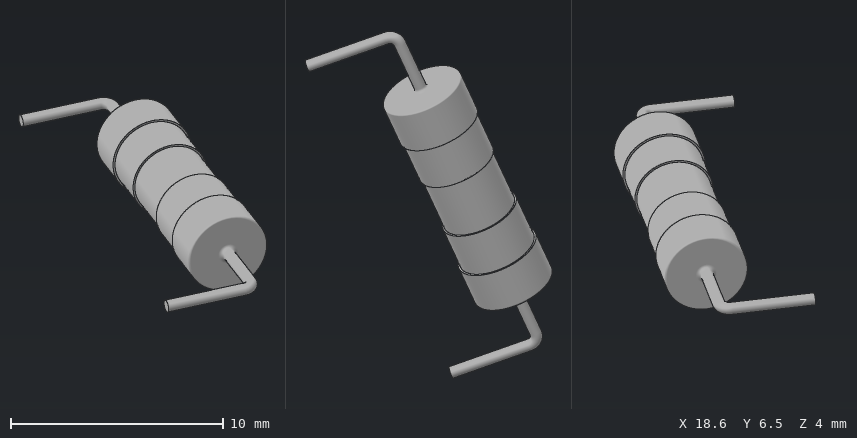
import cadquery as cq

overall_length = 18.6
lead_diameter = 0.6
lead_reach = 4.5
bend_radius = 0.5
body_length = 11.53
cap_diameter = 4.0
shoulder_diameter = 3.8
waist_diameter = 3.6
cap_inner_spacing = 7.33
waist_length = 2.86
cap_edge_radius = 0.1
root_fillet_radius = 0.2

lead_radius = lead_diameter / 2
lead_spacing = overall_length - lead_diameter


def make_body():
    """Stepped round body: end caps, narrower shoulders and the slim waist."""
    cap_radius = cap_diameter / 2
    shoulder_radius = shoulder_diameter / 2
    waist_radius = waist_diameter / 2
    body_end_x = body_length / 2
    cap_inner_x = cap_inner_spacing / 2
    waist_end_x = waist_length / 2
    body = (
        cq.Workplane("XY")
        .moveTo(-body_end_x, 0)
        .lineTo(-body_end_x, cap_radius)
        .lineTo(-cap_inner_x, cap_radius)
        .lineTo(-cap_inner_x, shoulder_radius)
        .lineTo(-waist_end_x, shoulder_radius)
        .lineTo(-waist_end_x, waist_radius)
        .lineTo(waist_end_x, waist_radius)
        .lineTo(waist_end_x, shoulder_radius)
        .lineTo(cap_inner_x, shoulder_radius)
        .lineTo(cap_inner_x, cap_radius)
        .lineTo(body_end_x, cap_radius)
        .lineTo(body_end_x, 0)
        .close()
        .revolve(360, (0, 0, 0), (1, 0, 0))
    )
    return body.faces("<X or >X").edges().fillet(cap_edge_radius)


def make_leads():
    """One wire through the body, with both ends bent toward -Y."""
    end_x = lead_spacing / 2
    straight_end_x = end_x - bend_radius
    path = (
        cq.Workplane("XY")
        .moveTo(-end_x, -lead_reach)
        .lineTo(-end_x, -bend_radius)
        .tangentArcPoint((-straight_end_x, 0), relative=False)
        .lineTo(straight_end_x, 0)
        .tangentArcPoint((end_x, -bend_radius), relative=False)
        .lineTo(end_x, -lead_reach)
    )
    tip_plane = cq.Workplane("XZ", origin=(-end_x, -lead_reach, 0))
    return tip_plane.circle(lead_radius).sweep(path)


def make_root_fillet():
    """Concave ring that blends the right-hand lead into its cap face."""
    face_x = body_length / 2
    ring_end_x = face_x + root_fillet_radius
    return (
        cq.Workplane("XY")
        .moveTo(face_x, 0)
        .lineTo(face_x, lead_radius + root_fillet_radius)
        .radiusArc((ring_end_x, lead_radius), -root_fillet_radius)
        .lineTo(ring_end_x, 0)
        .close()
        .revolve(360, (0, 0, 0), (1, 0, 0))
    )


root_fillet = make_root_fillet()
result = (
    make_body()
    .union(make_leads())
    .union(root_fillet)
    .union(root_fillet.mirror("YZ"))
)